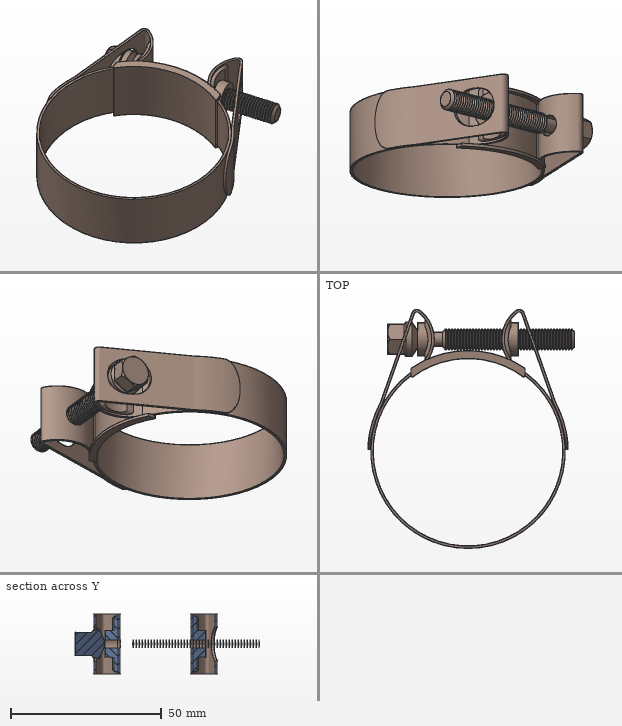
import cadquery as cq
import math


sheet = 0.9
strap_width = 20.0
strap_top = strap_width / 2
ring_radius = 32.35
ring_inner_radius = ring_radius - sheet
leaf_gap = 0.1
leaf_inner_radius = ring_radius + leaf_gap
leaf_radius = leaf_inner_radius + sheet
leaf_tip_y = 0.5
leaf_tip_length = 5.8
leaf_bend_y = 16.0

bolt_y = 37.2
loop_face_x = -11.2
fold_x = -17.0
fold_radius = 1.75
foot_angle = math.radians(-37)
clamp_length = 79.5
loop_end_y = clamp_length - ring_radius

leaf_hole_width = 13.0
leaf_hole_length = 14.1
leaf_hole_y = 36.65

bridge_half_length = 19.0
bridge_floor = 0.7
bridge_radius = 33.5
bridge_width = 22.0

thread_radius = 3.5
thread_depth = 0.55
thread_crest = 0.15
thread_start_x = -7.5
thread_turns = 42
thread_lead_in = 1.0
bolt_tip_x = 35.45
bolt_tip_radius = 2.55
shank_radius = 2.4
head_end_x = -26.7
head_flats = 10.0
head_chamfer = 0.8
flange_start_x = -21.3
flange_rim_x = -20.6
flange_cone_x = -18.7
flange_radius = 5.8
cone_tip_radius = 3.0

collar_x = -16.8
collar_radius = 5.6
plate_back_x = -14.3
plate_height = 18.6
plate_rounding = 1.3
plate_hollow_half = 4.3
plate_hollow_depth = 0.95

margin = 4.0

fold_y = loop_end_y - fold_radius
fold_dx = fold_x - loop_face_x
fold_dy = fold_y - bolt_y
face_radius = (fold_radius**2 - fold_dx**2 - fold_dy**2) / (2 * (fold_dx + fold_radius))
face_centre = (loop_face_x - face_radius, bolt_y)
face_inner_radius = face_radius - sheet
fold_centre = (fold_x, fold_y)
face_angle = math.atan2(fold_dy, fold_x - face_centre[0])
fold_inner_radius = fold_radius - sheet
foot_radius = ring_radius - sheet / 2


def polar(centre, radius, angle):
    return (centre[0] + radius * math.cos(angle), centre[1] + radius * math.sin(angle))


def left_ring_angle(radius, y):
    """Angle of the point at height y on the left half of a circle around the origin."""
    return math.pi - math.asin(y / radius)


def tangent_angle(point, centre, radius):
    """Angle on a circle where a line from the point touches its left side."""
    dx = point[0] - centre[0]
    dy = point[1] - centre[1]
    return math.atan2(dy, dx) - math.acos(radius / math.hypot(dx, dy))


def foot_point(radius):
    """Where the straight foot, running on from an arc of the loop face, enters the ring sheet."""
    start = polar(face_centre, radius, foot_angle)
    direction = (math.sin(foot_angle), -math.cos(foot_angle))
    along = start[0] * direction[0] + start[1] * direction[1]
    length = -along - math.sqrt(along**2 - math.hypot(*start) ** 2 + foot_radius**2)
    return (start[0] + length * direction[0], start[1] + length * direction[1])


def mirrored(body):
    return body.mirror("YZ")


def loop():
    tip = left_ring_angle(leaf_radius, leaf_tip_y)
    bend = left_ring_angle(leaf_radius, leaf_bend_y)
    middle = (tip + bend) / 2
    origin = (0, 0)

    outer_bend = polar(origin, leaf_radius, bend)
    inner_bend = polar(origin, leaf_inner_radius, bend)
    full_turn = 2 * math.pi
    outer_touch = tangent_angle(outer_bend, fold_centre, fold_radius) % full_turn
    inner_touch = tangent_angle(inner_bend, fold_centre, fold_inner_radius) % full_turn
    face_middle = (face_angle + foot_angle) / 2

    outline = (
        cq.Workplane("XY")
        .moveTo(*polar(origin, leaf_radius, tip))
        .threePointArc(polar(origin, leaf_radius, middle), outer_bend)
        .lineTo(*polar(fold_centre, fold_radius, outer_touch))
        .threePointArc(polar(fold_centre, fold_radius, (outer_touch + face_angle) / 2),
                       polar(fold_centre, fold_radius, face_angle))
        .threePointArc(polar(face_centre, face_radius, face_middle),
                       polar(face_centre, face_radius, foot_angle))
        .lineTo(*foot_point(face_radius))
        .lineTo(*foot_point(face_inner_radius))
        .lineTo(*polar(face_centre, face_inner_radius, foot_angle))
        .threePointArc(polar(face_centre, face_inner_radius, face_middle),
                       polar(face_centre, face_inner_radius, face_angle))
        .threePointArc(polar(fold_centre, fold_inner_radius, (inner_touch + face_angle) / 2),
                       polar(fold_centre, fold_inner_radius, inner_touch))
        .lineTo(*inner_bend)
        .threePointArc(polar(origin, leaf_inner_radius, middle),
                       polar(origin, leaf_inner_radius, tip))
        .close()
    )
    body = outline.extrude(strap_top, both=True)
    return body.cut(leaf_tip_waste()).cut(leaf_hole()).cut(face_hole())


def leaf_tip_waste():
    """Material outside the half ellipse that ends the leaf."""
    rounding_y = leaf_tip_y + leaf_tip_length
    side = cq.Workplane("YZ").workplane(offset=-leaf_radius - margin)
    reach = 2 * margin
    block = (
        side.center(rounding_y - leaf_tip_length / 2 - margin, 0)
        .rect(leaf_tip_length + 2 * margin, strap_width + margin)
        .extrude(reach)
    )
    ellipse = side.center(rounding_y, 0).ellipse(leaf_tip_length, strap_top).extrude(reach)
    return block.cut(ellipse)


def leaf_hole():
    return (
        cq.Workplane("YZ", origin=(-leaf_radius, leaf_hole_y, 0))
        .slot2D(leaf_hole_length, leaf_hole_width)
        .extrude(leaf_radius + collar_x)
    )


def face_hole():
    return (
        cq.Workplane("YZ", origin=(collar_x, bolt_y, 0))
        .circle(thread_radius)
        .extrude(loop_face_x + margin - collar_x)
    )


def strap():
    foot = foot_point(face_radius)
    opening_x = 2 * foot[0]
    opening_y = 2 * foot[1]
    ring = (
        cq.Workplane("XY")
        .circle(ring_radius)
        .circle(ring_inner_radius)
        .extrude(strap_top, both=True)
    )
    opening = (
        cq.Workplane("XY")
        .polyline([(0, 0), (opening_x, opening_y), (-opening_x, opening_y)])
        .close()
        .extrude(strap_top, both=True)
    )
    left_loop = loop()
    return ring.cut(opening).union(left_loop).union(mirrored(left_loop))


def bridge():
    """Channel with a thin floor inside the ring and a flange along each edge of the strap."""
    floor_radius = ring_inner_radius - bridge_floor
    end_angle = math.acos(bridge_half_length / ring_inner_radius)
    right_inner = polar((0, 0), floor_radius, end_angle)
    right_floor = polar((0, 0), ring_inner_radius, end_angle)
    corner_y = math.sqrt(bridge_radius**2 - bridge_half_length**2)
    body = (
        cq.Workplane("XY")
        .moveTo(*right_inner)
        .lineTo(*right_floor)
        .lineTo(bridge_half_length, corner_y)
        .threePointArc((0, bridge_radius), (-bridge_half_length, corner_y))
        .lineTo(-right_floor[0], right_floor[1])
        .lineTo(-right_inner[0], right_inner[1])
        .threePointArc((0, floor_radius), right_inner)
        .close()
        .extrude(bridge_width / 2, both=True)
    )
    strap_channel = (
        cq.Workplane("XY")
        .circle(bridge_radius + margin)
        .circle(ring_inner_radius)
        .extrude(strap_top, both=True)
    )
    return body.cut(strap_channel)


def back_edge_waste(half_length):
    """Material outside the rounding along both long edges of the plate's back."""
    depth = 2 * plate_rounding
    blank = (
        cq.Workplane("XY")
        .box(depth, 2 * half_length, plate_height)
        .translate((plate_back_x + plate_rounding, bolt_y, 0))
    )
    rounded = blank.edges("|Y and <X").fillet(plate_rounding)
    return blank.cut(rounded)


def trunnion():
    """Left trunnion: a plate lying in the loop face, with a round collar towards the leaf."""
    plate_half_length = math.sqrt(face_inner_radius**2 - (plate_back_x - face_centre[0]) ** 2)
    plate_ends = (bolt_y - plate_half_length, bolt_y + plate_half_length)
    hollow_ends = (bolt_y - plate_hollow_half, bolt_y + plate_hollow_half)
    plate = (
        cq.Workplane("XY")
        .moveTo(plate_back_x, plate_ends[0])
        .threePointArc((face_centre[0] + face_inner_radius, bolt_y), (plate_back_x, plate_ends[1]))
        .close()
        .extrude(plate_height / 2, both=True)
    )
    hollow = (
        cq.Workplane("XY")
        .moveTo(plate_back_x, hollow_ends[0])
        .threePointArc((plate_back_x + plate_hollow_depth, bolt_y), (plate_back_x, hollow_ends[1]))
        .close()
        .extrude(plate_height / 2, both=True)
    )
    plate = plate.cut(back_edge_waste(plate_half_length)).cut(hollow)
    collar = (
        cq.Workplane("YZ", origin=(collar_x, bolt_y, 0))
        .circle(collar_radius)
        .extrude(plate_back_x + plate_hollow_depth - collar_x)
    )
    loop_space = (
        cq.Workplane("XY", origin=(*face_centre, 0))
        .circle(face_inner_radius)
        .extrude(strap_top, both=True)
    )
    collar = collar.intersect(loop_space)
    return plate.union(collar).cut(face_hole())


def bolt_head():
    hexagon_diameter = head_flats / math.cos(math.pi / 6)
    hexagon = (
        cq.Workplane("YZ", origin=(head_end_x, bolt_y, 0))
        .transformed(rotate=(0, 0, 90))
        .polygon(6, hexagon_diameter)
        .extrude(flange_start_x - head_end_x)
    )
    chamfered_round = (
        cq.Workplane("YZ", origin=(head_end_x, bolt_y, 0))
        .circle(head_flats / 2 + head_chamfer)
        .extrude(flange_start_x - head_end_x)
        .faces("<X")
        .chamfer(head_chamfer)
    )
    return hexagon.intersect(chamfered_round)


def bolt_body():
    """Flange, shank and thread, turned about the bolt axis. The thread is a row of grooves."""
    thread_end_x = bolt_tip_x - thread_lead_in
    thread_pitch = (thread_end_x - thread_start_x) / thread_turns
    profile = [
        (flange_start_x, 0),
        (flange_start_x, head_flats / 2),
        (flange_rim_x, flange_radius),
        (flange_cone_x, flange_radius),
        (collar_x, cone_tip_radius),
        (collar_x, shank_radius),
        (thread_start_x - thread_lead_in, shank_radius),
    ]
    for turn in range(thread_turns):
        crest_start = thread_start_x + turn * thread_pitch
        crest_end = crest_start + thread_crest
        root = (crest_end + crest_start + thread_pitch) / 2
        profile.append((crest_start, thread_radius))
        profile.append((crest_end, thread_radius))
        profile.append((root, thread_radius - thread_depth))
    profile += [
        (thread_end_x, thread_radius),
        (bolt_tip_x, bolt_tip_radius),
        (bolt_tip_x, 0),
    ]
    return (
        cq.Workplane("XZ", origin=(0, bolt_y, 0))
        .polyline(profile)
        .close()
        .revolve(360, (0, 0, 0), (1, 0, 0))
    )


def bolt():
    return bolt_head().union(bolt_body())


trunnions = []
for on_right_side in (False, True):
    body = trunnion()
    trunnions.append(mirrored(body) if on_right_side else body)

result = cq.Compound.makeCompound([
    strap().val(),
    bridge().val(),
    bolt().val(),
    *[body.val() for body in trunnions],
])